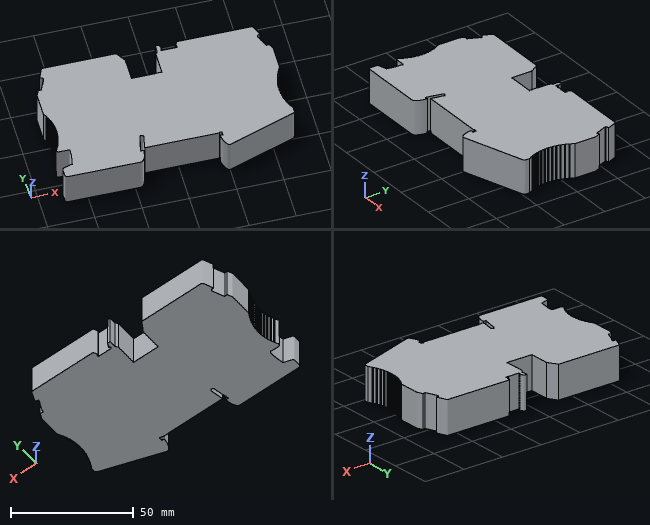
import cadquery as cq
import math

length = 100.0
height = 58.6
thickness = 16.2

latch_points = [(0, 45.2), (1.1, 47.7), (2.4, 47.4), (4.7, 52.8), (4.7, 53.3), (3.3, 53.8), (5.3, height)]
latch_shoulder = latch_points[0]
latch_peak = latch_points[-1]
shoulder_radius = 1.4
peak_radius = 0.8

left_grip_radius = 18.6
left_grip_x = -15.6
left_grip_y = 24.6
right_grip_radius = 21.3
right_grip_x = length + 18.1
right_grip_y = 23.7
ridge_count = 11
ridge_pitch = 5.1
ridge_width = 0.4
ridge_height = 0.5
ridge_root = 0.5

slot_left = 39.8
slot_right = 52.6
slot_floor = 44.3
slot_shoulder = 54.2
slot_chamfer_x = 37.0
hook_left = 53.5
hook_step = 55.5

pocket_left = 55.3
pocket_right = 62.0
pocket_floor = 55.6
pocket_lip = 56.5
pocket_overhang = 0.6
hook_peak_x = 54.9
pocket_peak_x = 62.5
pocket_peak_radius = 0.6

hook_underside = 13.7
hook_radius = 0.9
heel_x = 5.7
heel_corner_radius = 0.5
neck_x = 4.8
neck_y = 6.1
neck_mid = (5.5, 9.8)
foot_left = 0.3
foot_lip = 4.7
foot_radius = 1.1

rail_ceiling = 7.0
rail_lip = 5.8
left_toe_x = 35.0
left_toe_mid = (34.5, 2.7)
left_toe_base_x = 33.0
left_toe_radius = 1.8
relief_left = 67.3
relief_right = 68.4
relief_top = 7.3
right_toe_x = 67.2
right_toe_mid = (67.7, 3.0)
right_toe_end_x = 68.8

ramp_angle = 18.4
tip_x = 70.0
tip_radius = 1.3
ramp_corner_radius = 1.5

slit_left = 33.7
slit_right = 35.7
slit_top_left = (35.2, 12.9)
slit_top = (36.0, 13.7)
slit_top_right = (36.8, 12.9)


def grip_half_chord(radius, offset):
    """Half the chord a grip circle cuts on a vertical line at this offset from its centre."""
    return math.sqrt(radius**2 - offset**2)


def make_block():
    """Return the extruded block and its corners still to be rounded, as (x, y, radius)."""
    left_grip_top = left_grip_y + grip_half_chord(left_grip_radius, left_grip_x)
    hook_drop = left_grip_y - hook_underside
    hook_tip_x = left_grip_x + math.sqrt(left_grip_radius**2 - hook_drop**2)
    right_half = grip_half_chord(right_grip_radius, right_grip_x - length)
    ramp_slope = math.radians(ramp_angle)
    ramp_start_x = tip_x + tip_radius * math.sin(ramp_slope)
    ramp_start_y = tip_radius * (1 - math.cos(ramp_slope))
    ramp_end_y = ramp_start_y + (length - ramp_start_x) * math.tan(ramp_slope)
    right_toe_end_y = tip_radius - math.sqrt(tip_radius**2 - (tip_x - right_toe_end_x) ** 2)
    mirrored_latch = [(length - inset, y) for inset, y in reversed(latch_points)]

    outline = cq.Workplane("XY").moveTo(0, left_grip_top)
    points = latch_points + [
        (slot_chamfer_x, height),
        (slot_left, slot_shoulder),
        (slot_left, slot_floor),
        (slot_right, slot_floor),
        (slot_right, slot_shoulder),
        (hook_left, hook_step),
        (hook_left, height),
        (hook_peak_x, height),
        (pocket_left + pocket_overhang, pocket_lip),
        (pocket_left, pocket_lip),
        (pocket_left, pocket_floor),
        (pocket_right, pocket_floor),
        (pocket_right, pocket_lip),
        (pocket_right - pocket_overhang, pocket_lip),
        (pocket_peak_x, height),
    ] + mirrored_latch
    for x, y in points:
        outline = outline.lineTo(x, y)
    outline = (
        outline.lineTo(length, right_grip_y + right_half)
        .threePointArc(
            (right_grip_x - right_grip_radius, right_grip_y),
            (length, right_grip_y - right_half),
        )
        .lineTo(length, ramp_end_y)
        .lineTo(ramp_start_x, ramp_start_y)
        .threePointArc((tip_x, 0), (right_toe_end_x, right_toe_end_y))
        .threePointArc(right_toe_mid, (right_toe_x, rail_lip))
        .lineTo(relief_right, rail_lip)
        .lineTo(relief_right, relief_top)
        .lineTo(relief_left, relief_top)
        .lineTo(relief_left, rail_ceiling)
    )
    outline = (
        outline.lineTo(slit_right, rail_ceiling)
        .lineTo(*slit_top_right)
        .threePointArc(slit_top, slit_top_left)
        .lineTo(slit_left, rail_lip)
        .lineTo(left_toe_x, rail_lip)
        .threePointArc(left_toe_mid, (left_toe_base_x, 0))
        .lineTo(foot_left, 0)
        .lineTo(foot_left, foot_lip)
        .lineTo(neck_x, neck_y)
        .threePointArc(neck_mid, (heel_x, hook_underside))
        .lineTo(hook_tip_x, hook_underside)
        .threePointArc((left_grip_x + left_grip_radius, left_grip_y), (0, left_grip_top))
        .close()
    )
    corners = [
        (hook_tip_x, hook_underside, hook_radius),
        (heel_x, hook_underside, heel_corner_radius),
        (foot_left, 0, foot_radius),
        (foot_left, foot_lip, foot_radius),
        (left_toe_base_x, 0, left_toe_radius),
        (length, ramp_end_y, ramp_corner_radius),
        (latch_peak[0], height, peak_radius),
        (length - latch_peak[0], height, peak_radius),
        (hook_peak_x, height, pocket_peak_radius),
        (pocket_peak_x, height, pocket_peak_radius),
        (latch_shoulder[0], latch_shoulder[1], shoulder_radius),
        (length - latch_shoulder[0], latch_shoulder[1], shoulder_radius),
    ]
    return outline.extrude(thickness), corners


def round_corner(body, x, y, radius):
    """Round the upright edge that passes through (x, y)."""
    edge = cq.selectors.NearestToPointSelector((x, y, thickness / 2))
    return body.edges("|Z").edges(edge).fillet(radius)


def grip_ridges(centre_x, centre_y, radius, middle_angle):
    """Upright ridges spaced around a grip and pointing at its centre."""
    ridges = cq.Workplane("XY")
    for index in range(ridge_count):
        angle = middle_angle + (index - (ridge_count - 1) / 2) * ridge_pitch
        ridge = (
            cq.Workplane("XY")
            .box(ridge_height + ridge_root, ridge_width, thickness, centered=(False, True, False))
            .translate((radius - ridge_height, 0, 0))
            .rotate((0, 0, 0), (0, 0, 1), angle)
            .translate((centre_x, centre_y, 0))
        )
        ridges = ridges.add(ridge)
    return ridges


result, rounded_corners = make_block()
for corner_x, corner_y, corner_radius in rounded_corners:
    result = round_corner(result, corner_x, corner_y, corner_radius)

left_ridges = grip_ridges(left_grip_x, left_grip_y, left_grip_radius, 0)
right_ridges = grip_ridges(right_grip_x, right_grip_y, right_grip_radius, 180)
for ridge in left_ridges.vals() + right_ridges.vals():
    result = result.union(cq.Workplane(ridge))